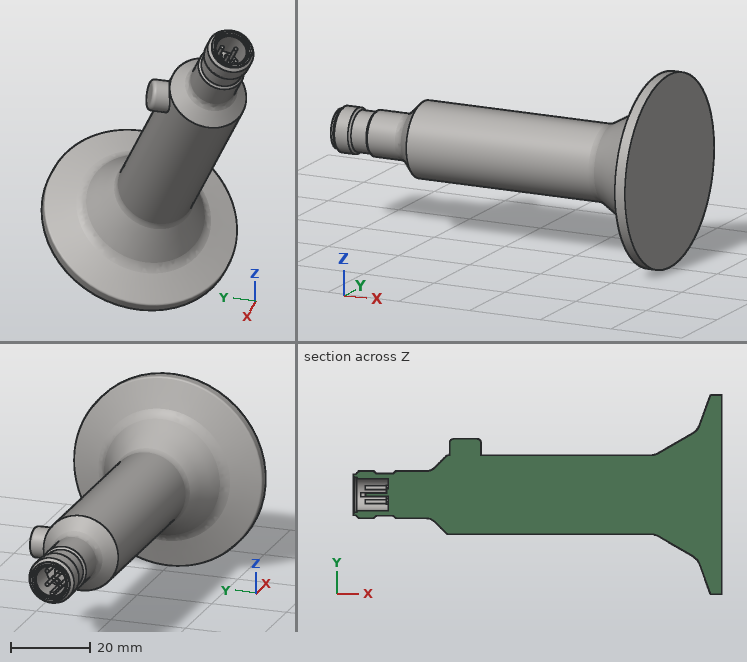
import cadquery as cq
import math

length = 93.2

body_diameter = 20.0
flange_diameter = 50.5
flange_corner_x = 90.3
flange_back_angle = 20.0
flare_start_x = 76.2
flare_angle = 30.0
body_flare_fillet = 3.7
flare_flange_fillet = 4.0
flange_rim_fillet = 0.6

shoulder_end_x = 23.8
shoulder_fillet = 3.0

sleeve_diameter = 10.4
connector_diameter = 12.0
groove_diameter = 10.8
sleeve_length = 0.65
groove_start_x = 5.2
groove_end_x = 10.7

mouth_diameter = 9.4
mouth_depth = 0.4
throat_diameter = 8.8
throat_depth = 0.9
bore_diameter = 8.0
bore_depth = 8.9
key_width = 0.9
key_height = 0.7
key_start_x = 1.9

pin_diameter = 0.9
pin_tip_x = 3.1
pin_ring_radius = 2.5
foot_length = 2.05
foot_height = 0.5

button_x = 28.3
button_diameter = 8.0
button_top_y = 14.2
button_fillet = 1.0

body_radius = body_diameter / 2
flange_radius = flange_diameter / 2
sleeve_radius = sleeve_diameter / 2
connector_radius = connector_diameter / 2
groove_radius = groove_diameter / 2
groove_step = connector_radius - groove_radius


def flare_corner():
    """Point (x, radius) where the flare cone meets the back cone of the flange."""
    flare_slope = math.tan(math.radians(flare_angle))
    back_slope = math.tan(math.radians(flange_back_angle))
    run = flange_corner_x - flare_start_x - (flange_radius - body_radius) * back_slope
    x = flare_start_x + run / (1 - flare_slope * back_slope)
    return x, body_radius + (x - flare_start_x) * flare_slope


def circle_at(x, radius):
    """Selector of the circular edge of the turned body at the given x and radius."""
    margin = 0.1
    reach = radius + margin
    return cq.selectors.BoxSelector(
        (x - margin, -reach, -reach),
        (x + margin, reach, reach),
        boundingbox=True,
    )


def turned_body():
    corner_x, corner_radius = flare_corner()
    shoulder_start_x = shoulder_end_x - (body_radius - connector_radius)
    outline = [
        (0, 0),
        (0, sleeve_radius),
        (sleeve_length, sleeve_radius),
        (sleeve_length + connector_radius - sleeve_radius, connector_radius),
        (groove_start_x, connector_radius),
        (groove_start_x + groove_step, groove_radius),
        (groove_end_x - groove_step, groove_radius),
        (groove_end_x, connector_radius),
        (shoulder_start_x, connector_radius),
        (shoulder_end_x, body_radius),
        (flare_start_x, body_radius),
        (corner_x, corner_radius),
        (flange_corner_x, flange_radius),
        (length, flange_radius),
        (length, 0),
    ]
    solid = cq.Workplane("XY").polyline(outline).close().revolve(360, (0, 0), (1, 0))
    fillets = [
        (shoulder_start_x, connector_radius, shoulder_fillet),
        (flare_start_x, body_radius, body_flare_fillet),
        (corner_x, corner_radius, flare_flange_fillet),
        (flange_corner_x, flange_radius, flange_rim_fillet),
    ]
    for x, radius, fillet_radius in fillets:
        solid = solid.edges(circle_at(x, radius)).fillet(fillet_radius)
    return solid


def rod(diameter, rod_length):
    """Cylinder along +X starting at x = 0."""
    return cq.Workplane("YZ").circle(diameter / 2).extrude(rod_length)


def socket():
    taper = cq.Workplane("YZ").circle(mouth_diameter / 2).workplane(offset=mouth_depth)
    taper = taper.circle(throat_diameter / 2).loft()
    return rod(bore_diameter, bore_depth).union(rod(throat_diameter, throat_depth)).union(taper)


def key():
    """Coding key along the bottom of the bore, sunk into the wall behind it."""
    bore_radius = bore_diameter / 2
    overlap = (mouth_diameter - bore_diameter) / 2
    bar = cq.Workplane("XY").box(
        bore_depth - key_start_x, key_width, key_height + overlap, centered=(False, True, False)
    )
    return bar.translate((key_start_x, 0, -bore_radius - overlap))


def pin():
    """Round pin on the X axis, with its foot on the socket floor reaching toward +Y."""
    post = rod(pin_diameter, bore_depth - pin_tip_x)
    foot = cq.Workplane("XY").box(foot_height, foot_length, pin_diameter, centered=(False, False, True))
    foot = foot.translate((bore_depth - foot_height, -pin_diameter / 2, 0))
    return post.translate((pin_tip_x, 0, 0)).union(foot)


def pins():
    """Centre pin and four pins around it whose feet all reach toward the XZ plane."""
    group = pin()
    offset = pin_ring_radius * math.cos(math.radians(45))
    for side_y in (1, -1):
        for side_z in (1, -1):
            foot_turn = math.degrees(math.atan2(side_z, -side_y))
            placed = pin().rotate((0, 0, 0), (1, 0, 0), foot_turn)
            group = group.union(placed.translate((0, side_y * offset, side_z * offset)))
    return group


def button():
    return (
        cq.Workplane("XZ", origin=(button_x, 0, 0))
        .circle(button_diameter / 2)
        .extrude(-button_top_y)
        .faces(">Y")
        .edges()
        .fillet(button_fillet)
    )


result = turned_body().cut(socket()).union(key()).union(pins()).union(button())